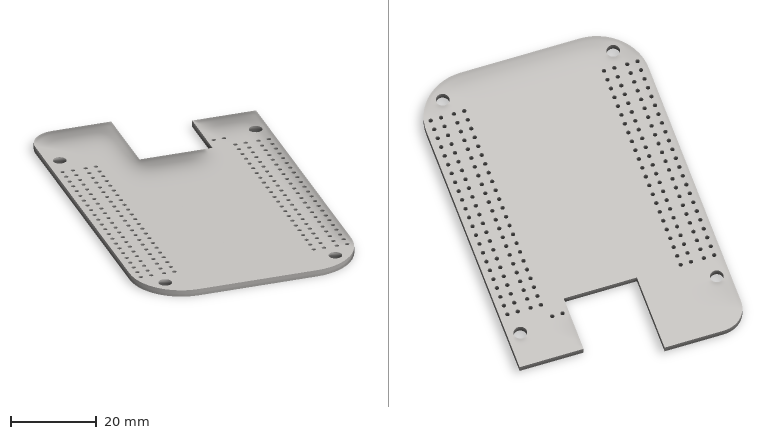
import cadquery as cq

LENGTH = 86.4
WIDTH = 54.6
THICKNESS = 1.6
RIGHT_CORNER_RADIUS = 12.7
LEFT_CORNER_RADIUS = RIGHT_CORNER_RADIUS / 2

UPPER_ARM_SETBACK = 5.7
NOTCH_END_X = 20.2
NOTCH_BOTTOM_Y = 20.9
NOTCH_TOP_Y = 38.9

MOUNT_DIAMETER = 3.2
LEFT_MOUNT_X = 14.6
LEFT_MOUNT_INSET = LEFT_CORNER_RADIUS / 2
RIGHT_MOUNT_X = 80.7
RIGHT_MOUNT_INSET = RIGHT_CORNER_RADIUS / 2

PIN_DIAMETER = 1.0
PIN_COLUMNS = 23
FIRST_PIN_X = 20.3
PIN_ROW_LENGTH = 55.9
PIN_PITCH = PIN_ROW_LENGTH / (PIN_COLUMNS - 1)
OUTER_PIN_INSET = 1.9
DOUBLE_ROW_SPACING = 5.7

PAIR_X = 16.5
PAIR_LOWER_Y = 40.4


def board():
    blank = (
        cq.Workplane("XY")
        .moveTo(0, 0)
        .lineTo(LENGTH, 0)
        .lineTo(LENGTH, WIDTH)
        .lineTo(UPPER_ARM_SETBACK, WIDTH)
        .lineTo(UPPER_ARM_SETBACK, NOTCH_TOP_Y)
        .lineTo(NOTCH_END_X, NOTCH_TOP_Y)
        .lineTo(NOTCH_END_X, NOTCH_BOTTOM_Y)
        .lineTo(0, NOTCH_BOTTOM_Y)
        .close()
        .extrude(THICKNESS)
    )
    blank = blank.edges("|Z and >X").fillet(RIGHT_CORNER_RADIUS)
    lower_left_corner = cq.selectors.NearestToPointSelector((0, 0, THICKNESS / 2))
    return blank.edges("|Z").edges(lower_left_corner).fillet(LEFT_CORNER_RADIUS)


def mirrored_pair(x, inset):
    """Points at the same distance from the lower and upper long edges."""
    return [(x, inset), (x, WIDTH - inset)]


def header_points():
    points = []
    for double_row in range(2):
        for row in range(2):
            inset = OUTER_PIN_INSET + double_row * DOUBLE_ROW_SPACING + row * PIN_PITCH
            for column in range(PIN_COLUMNS):
                points += mirrored_pair(FIRST_PIN_X + column * PIN_PITCH, inset)
    return points


def through_pins(points, diameter):
    """Cylinders through the full thickness, used to cut holes."""
    return cq.Workplane("XY").pushPoints(points).circle(diameter / 2).extrude(THICKNESS)


mount_points = mirrored_pair(LEFT_MOUNT_X, LEFT_MOUNT_INSET)
mount_points += mirrored_pair(RIGHT_MOUNT_X, RIGHT_MOUNT_INSET)
pair_points = [(PAIR_X, PAIR_LOWER_Y), (PAIR_X, PAIR_LOWER_Y + PIN_PITCH)]

result = (
    board()
    .cut(through_pins(mount_points, MOUNT_DIAMETER))
    .cut(through_pins(header_points() + pair_points, PIN_DIAMETER))
)